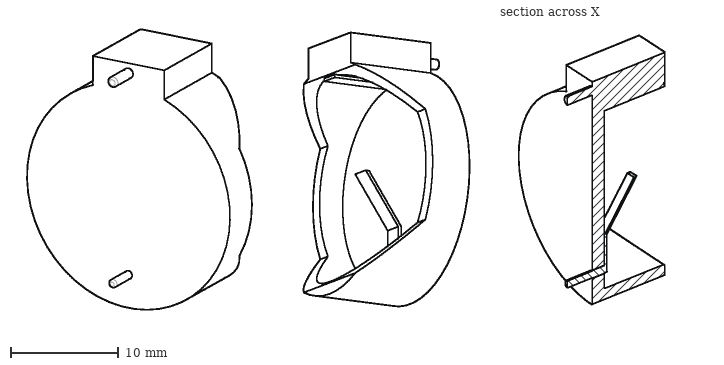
import cadquery as cq


case_radius = 11.05
case_depth = 8.7
overall_height = 24.3
block_width = 7.78
block_top = overall_height - case_radius

shelf_depth = 4.0
cutout_half_height = 9.99
cutout_drop = case_depth - shelf_depth
shelf_half_height = cutout_half_height - cutout_drop

cavity_radius = 9.82
floor_thickness = 1.5

sheet_thickness = 0.32
contact_width = 1.95
pin_length = 3.0
pin_rounding = 0.2
upper_pin_diameter = 1.0
lower_pin_diameter = 0.8
upper_pin_z = 12.25
pin_spacing = 20.0
lower_pin_z = upper_pin_z - pin_spacing

spring_tip_y = 5.35
spring_tip_z = 1.0
spring_rise_per_depth = 1.42
spring_cut_length = 0.36


def disc(radius, start_y, end_y):
    """Cylinder about the case axis between two depths."""
    return cq.Workplane("XZ", origin=(0, start_y, 0)).circle(radius).extrude(start_y - end_y)


def pin(diameter, z, base_y):
    """Pin pointing toward -Y from base_y, with a rounded tip."""
    length = pin_length + base_y
    shaft = cq.Workplane("XZ", origin=(0, base_y, z)).circle(diameter / 2).extrude(length)
    return shaft.faces("<Y").edges().fillet(pin_rounding)


def make_case():
    round_case = disc(case_radius, 0, case_depth)
    block = cq.Workplane("XY").box(block_width, case_depth, block_top, centered=(True, False, False))
    return round_case.union(block)


def make_side_cutout():
    profile = [
        (case_depth, cutout_half_height),
        (shelf_depth, shelf_half_height),
        (shelf_depth, -shelf_half_height),
        (case_depth, -cutout_half_height),
    ]
    return cq.Workplane("YZ").polyline(profile).close().extrude(case_radius, both=True)


def make_upper_contact():
    """Flat strip under the block, along the cavity wall."""
    strip_depth = case_depth - floor_thickness
    return cq.Workplane("XY", origin=(0, floor_thickness, cavity_radius - sheet_thickness)).box(
        contact_width, strip_depth, sheet_thickness, centered=(True, False, False)
    )


def make_housing():
    """Case with its cavity, carrying the upper contact and upper pin."""
    cavity = disc(cavity_radius, floor_thickness, case_depth)
    lower_pin_hole = cq.Workplane("XZ", origin=(0, 0, lower_pin_z)).circle(lower_pin_diameter / 2)
    housing = make_case().cut(make_side_cutout()).cut(cavity)
    housing = housing.cut(lower_pin_hole.extrude(-floor_thickness))
    return housing.union(make_upper_contact()).union(pin(upper_pin_diameter, upper_pin_z, 0))


def make_spring_contact():
    """Foot on the cavity floor, leaning tongue, and the lower pin through the floor."""
    foot_top = floor_thickness + sheet_thickness
    foot_end_z = lower_pin_z - lower_pin_diameter / 2
    spring_inner_y = spring_tip_y - spring_cut_length
    root_z = spring_tip_z - (spring_inner_y - floor_thickness) * spring_rise_per_depth
    bend_z = spring_tip_z - (spring_tip_y - foot_top) * spring_rise_per_depth
    profile = [
        (floor_thickness, foot_end_z),
        (floor_thickness, root_z),
        (spring_inner_y, spring_tip_z),
        (spring_tip_y, spring_tip_z),
        (foot_top, bend_z),
        (foot_top, foot_end_z),
    ]
    strip = cq.Workplane("YZ").polyline(profile).close().extrude(contact_width / 2, both=True)
    return strip.union(pin(lower_pin_diameter, lower_pin_z, floor_thickness))


housing = make_housing()
spring_contact = make_spring_contact()

result = cq.Compound.makeCompound([housing.val(), spring_contact.val()])